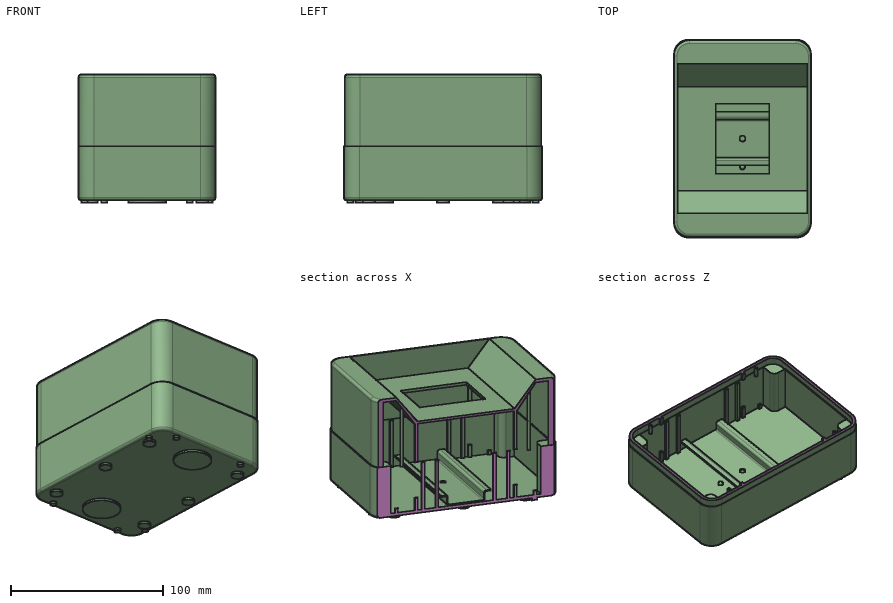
import cadquery as cq


WIDTH = 90.0
BASE_LENGTH = 130.0
COVER_LENGTH = 129.0
BASE_HEIGHT = 35.6
COVER_HEIGHT = 47.0
TOP_Z = BASE_HEIGHT + COVER_HEIGHT
CORNER_RADIUS = 10.0
EDGE_RADIUS = 2.0
WALL = 2.5
INNER_WIDTH = WIDTH - 2 * WALL

TROUGH_DEPTH = 18.5
TROUGH_TOP_LENGTH = 98.0
TROUGH_FLOOR_LENGTH = 68.1
TROUGH_FLOOR_Z = TOP_Z - TROUGH_DEPTH
TROUGH_SKIN = 2.0
WINDOW_WIDTH = 35.0
WINDOW_LENGTH = 46.0

BLOCK_WIDTH = 10.5
BLOCK_LENGTH = 10.0
BLOCK_RADIUS = 4.0

RIB_WIDTH = 2.2
RIB_DEPTH = 1.5
TALL_RIB_YS = (20.3, 30.0)
TALL_RIB_TOP_Z = 35.1
SHORT_RIB_Y = 34.8
SHORT_RIB_TOP_Z = 10.9
LOW_RIB_Y = 48.8
LOW_RIB_TOP_Z = 5.2
PEG_RADIUS = 1.0
PEG_X = 40.5
PEG_Y = 44.7
PEG_DROP = 1.8

DOME_RADIUS = 1.7
DOME_Y = -18.6

PAD_HEIGHT = 1.5
LARGE_PAD_RADIUS = 12.5
LARGE_PAD_Y = 45.0
MEDIUM_PAD_RADIUS = 4.0
MEDIUM_PAD_X = 36.3
MEDIUM_PAD_NEAR_Y = 43.5
MEDIUM_PAD_FAR_Y = 48.6
SMALL_PAD_RADIUS = 2.1
SIDE_PAD_X = 41.0
SIDE_PAD_Y = 48.4
END_PAD_X = 28.1
END_PAD_Y = 60.8

RAIL_LENGTH = INNER_WIDTH
RAIL_WIDTH = 35.0
RAIL_HEIGHT = 7.5
RAIL_THICKNESS = 1.0
RAIL_CHANNEL_WIDTH = 25.0
RAIL_INNER_RADIUS = 0.8
RAIL_OUTER_RADIUS = RAIL_INNER_RADIUS + RAIL_THICKNESS
RAIL_HOLE_DIAMETER = 3.9

SIDES = (-1, 1)
QUADRANTS = [(sx, sy) for sx in SIDES for sy in SIDES]


def box(x0, x1, y0, y1, z0, z1):
    """A box between two opposite corners, given in any order."""
    center = ((x0 + x1) / 2, (y0 + y1) / 2, (z0 + z1) / 2)
    return cq.Workplane("XY").box(abs(x1 - x0), abs(y1 - y0), abs(z1 - z0)).translate(center)


def rounded_block(width, length, radius, z0, z1):
    """A block centered on the Z axis with rounded upright edges."""
    block = cq.Workplane("XY").workplane(offset=z0).rect(width, length).extrude(z1 - z0)
    return block.edges("|Z").fillet(radius)


def disc(x, y, radius, z0, z1):
    """An upright cylinder."""
    return cq.Workplane("XY").workplane(offset=z0).center(x, y).circle(radius).extrude(z1 - z0)


def wall_rib(side, y, z0, z1):
    """An upright rib on the inside of a long wall, rooted halfway into the wall."""
    face_x = side * (INNER_WIDTH / 2 - RIB_DEPTH)
    root_x = side * (INNER_WIDTH + WALL) / 2
    return box(face_x, root_x, y - RIB_WIDTH / 2, y + RIB_WIDTH / 2, z0, z1)



def corner_block(sx, sy):
    """A square column in an inside corner of the base, with its free edge rounded."""
    half_x = INNER_WIDTH / 2
    half_y = BASE_LENGTH / 2 - WALL
    block = box(half_x - BLOCK_WIDTH, half_x, half_y - BLOCK_LENGTH, half_y, 0, BASE_HEIGHT)
    block = block.edges("|Z and <X and <Y").fillet(BLOCK_RADIUS)
    if sx < 0:
        block = block.mirror("YZ")
    if sy < 0:
        block = block.mirror("XZ")
    return block


def base_ribs():
    """The ribs of both long walls, mirrored about the middle."""
    rib_tops = [(y, TALL_RIB_TOP_Z) for y in TALL_RIB_YS]
    rib_tops += [(SHORT_RIB_Y, SHORT_RIB_TOP_Z), (LOW_RIB_Y, LOW_RIB_TOP_Z)]
    return [wall_rib(sx, sy * y, WALL / 2, top) for sx, sy in QUADRANTS for y, top in rib_tops]


def pads():
    """The round pads under the base, each rooted in the floor."""
    places = []
    for side in SIDES:
        places.append((0, side * LARGE_PAD_Y, LARGE_PAD_RADIUS))
        places.append((side * MEDIUM_PAD_X, 0, MEDIUM_PAD_RADIUS))
        places.append((side * MEDIUM_PAD_X, side * MEDIUM_PAD_NEAR_Y, MEDIUM_PAD_RADIUS))
        places.append((side * MEDIUM_PAD_X, -side * MEDIUM_PAD_FAR_Y, MEDIUM_PAD_RADIUS))
        places.append((side * SIDE_PAD_X, side * SIDE_PAD_Y, SMALL_PAD_RADIUS))
    for sx, sy in QUADRANTS:
        places.append((sx * END_PAD_X, sy * END_PAD_Y, SMALL_PAD_RADIUS))
    return [disc(x, y, radius, -PAD_HEIGHT, WALL / 2) for x, y, radius in places]


def make_base():
    outer = rounded_block(WIDTH, BASE_LENGTH, CORNER_RADIUS, 0, BASE_HEIGHT)
    outer = outer.faces("<Z").edges().fillet(EDGE_RADIUS)
    inner_length = BASE_LENGTH - 2 * WALL
    cavity = rounded_block(INNER_WIDTH, inner_length, CORNER_RADIUS - WALL, WALL, BASE_HEIGHT)
    for sx, sy in QUADRANTS:
        cavity = cavity.cut(corner_block(sx, sy))
    base = outer.cut(cavity)
    for feature in base_ribs() + pads():
        base = base.union(feature)
    dome = cq.Workplane("XY").sphere(DOME_RADIUS).translate((0, DOME_Y, WALL))
    return base.union(dome)



def trough(skin):
    """The sunken trough across the cover, enlarged by the skin under its floor and slopes."""
    half_top = TROUGH_TOP_LENGTH / 2 + skin
    half_floor = TROUGH_FLOOR_LENGTH / 2 + skin
    floor_z = TROUGH_FLOOR_Z - skin
    outline = [(-half_floor, floor_z), (half_floor, floor_z), (half_top, TOP_Z), (-half_top, TOP_Z)]
    return cq.Workplane("YZ").polyline(outline).close().extrude(INNER_WIDTH / 2, both=True)


def make_cover():
    outer = rounded_block(WIDTH, COVER_LENGTH, CORNER_RADIUS, BASE_HEIGHT, TOP_Z)
    outer = outer.faces(">Z").edges().fillet(EDGE_RADIUS)
    inner_length = COVER_LENGTH - 2 * WALL
    inner_radius = CORNER_RADIUS - WALL
    cavity = rounded_block(INNER_WIDTH, inner_length, inner_radius, BASE_HEIGHT, TOP_Z - WALL)
    cover = outer.cut(cavity.cut(trough(TROUGH_SKIN)))
    for sx, sy in QUADRANTS:
        cover = cover.union(wall_rib(sx, sy * SHORT_RIB_Y, BASE_HEIGHT, TROUGH_FLOOR_Z))
        peg = disc(sx * PEG_X, sy * PEG_Y, PEG_RADIUS, BASE_HEIGHT - PEG_DROP, TOP_Z)
        cover = cover.union(peg)
    half_x = WINDOW_WIDTH / 2
    half_y = WINDOW_LENGTH / 2
    window = box(-half_x, half_x, -half_y, half_y, BASE_HEIGHT, TOP_Z)
    return cover.cut(trough(0)).cut(window)



def make_rail():
    bottom_z = WALL
    top_z = bottom_z + RAIL_HEIGHT
    half_channel = RAIL_CHANNEL_WIDTH / 2
    half_outside = half_channel + RAIL_THICKNESS
    half_rail = RAIL_WIDTH / 2
    half_length = RAIL_LENGTH / 2
    rail = box(-half_length, half_length, -half_outside, half_outside, bottom_z, top_z)
    flange_z = top_z - RAIL_THICKNESS
    rail = rail.union(box(-half_length, half_length, -half_rail, half_rail, flange_z, top_z))
    floor_z = bottom_z + RAIL_THICKNESS
    rail = rail.cut(box(-half_length, half_length, -half_channel, half_channel, floor_z, top_z))

    def bends(y, z):
        """Selects the pair of lengthwise edges at y and -y."""
        return cq.selectors.SumSelector(
            cq.selectors.NearestToPointSelector((0, y, z)),
            cq.selectors.NearestToPointSelector((0, -y, z)),
        )

    rail = rail.edges(bends(half_channel, top_z)).fillet(RAIL_OUTER_RADIUS)
    rail = rail.edges(bends(half_outside, bottom_z)).fillet(RAIL_OUTER_RADIUS)
    rail = rail.edges(bends(half_channel, floor_z)).fillet(RAIL_INNER_RADIUS)
    rail = rail.edges(bends(half_outside, flange_z)).fillet(RAIL_INNER_RADIUS)
    return rail.cut(disc(0, 0, RAIL_HOLE_DIAMETER / 2, bottom_z, top_z))


base = make_base()
cover = make_cover()
rail = make_rail()

result = cq.Compound.makeCompound([body.solids().val() for body in (base, cover, rail)])